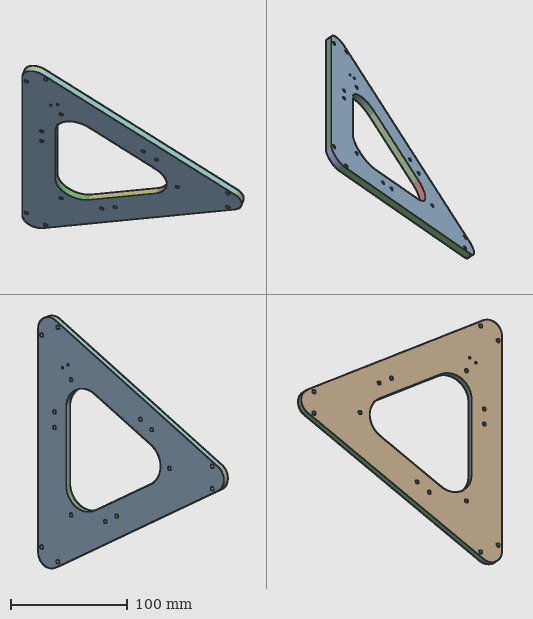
import cadquery as cq
import math

thickness = 6.0
overall_height = 225.0
corner_spacing = 200.0
corner_radius = (overall_height - corner_spacing) / 2

window_corner_spacing = 69.3
window_corner_radius = 20.2

tip_hole_diameter = 3.4
tip_hole_spacing = 20.0

inner_hole_diameter = 3.2
inner_hole_radius = 70.0
side_hole_offset = 52.6
side_hole_spacing = 14.0
side_hole_shift = 21.5

pin_hole_diameter = 1.5
pin_hole_radius = 82.5
pin_hole_spacing = 7.0

corner_angles = (0, 120, 240)
upper_left_corner_angle = 120


def circumradius(side):
    """Distance from the centre of an equilateral triangle to its corners."""
    return side / math.sqrt(3)


def place(angle, outward, sideways):
    """Point at the given distances along and across a direction from the plate centre."""
    a = math.radians(angle)
    return (
        outward * math.cos(a) - sideways * math.sin(a),
        outward * math.sin(a) + sideways * math.cos(a),
    )


def pair(angle, outward, spacing, shift=0.0):
    """Two points spaced evenly about a place across the given direction."""
    return [place(angle, outward, shift + sign * spacing / 2) for sign in (-1, 1)]


def rounded_triangle(spacing, radius):
    """Prism on an equilateral triangle whose corner arcs have centres one spacing apart."""
    centres = [place(angle, circumradius(spacing), 0) for angle in corner_angles]
    outline = cq.Workplane("XZ").polyline(centres).close().offset2D(radius, "arc")
    return outline.extrude(thickness / 2, both=True)


def drilled(points, diameter):
    """Cylinders that run through the plate thickness."""
    holes = cq.Workplane("XZ").pushPoints(points).circle(diameter / 2)
    return holes.extrude(thickness / 2, both=True)


tip_hole_points = []
inner_hole_points = []
for angle in corner_angles:
    tip_hole_points += pair(angle, circumradius(corner_spacing), tip_hole_spacing)
    inner_hole_points.append(place(angle, inner_hole_radius, 0))
    inner_hole_points += pair(angle + 180, side_hole_offset, side_hole_spacing, -side_hole_shift)

pin_hole_points = pair(upper_left_corner_angle, pin_hole_radius, pin_hole_spacing)

plate = rounded_triangle(corner_spacing, corner_radius)
window = rounded_triangle(window_corner_spacing, window_corner_radius)

result = (
    plate.cut(window)
    .cut(drilled(tip_hole_points, tip_hole_diameter))
    .cut(drilled(inner_hole_points, inner_hole_diameter))
    .cut(drilled(pin_hole_points, pin_hole_diameter))
)